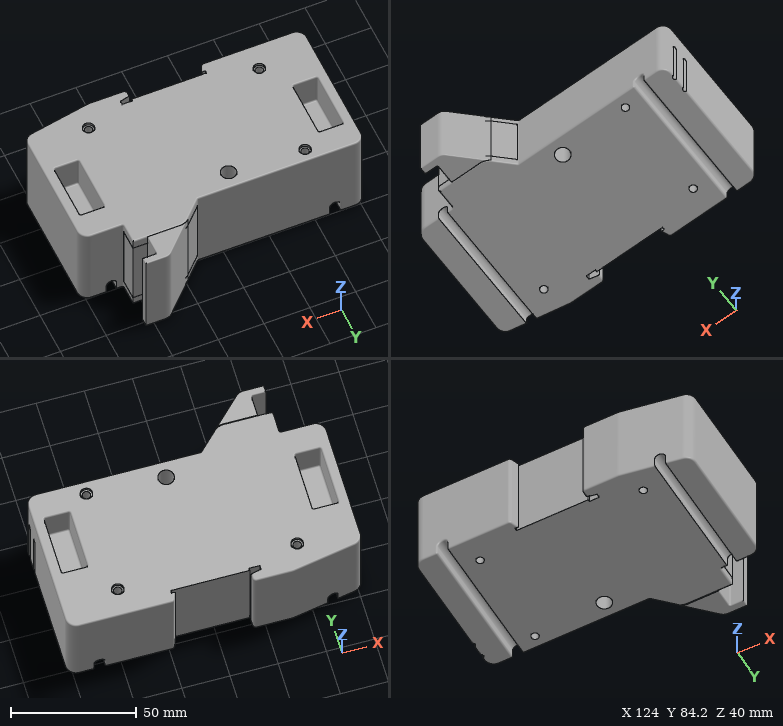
import cadquery as cq
import math

SELECT_MARGIN = 0.1

LENGTH = 124.0
DEPTH = 62.2
HEIGHT = 40.0
CORNER_RADIUS = 4.5
EDGE_ROUND = 0.7

SLOPE_ANGLE = math.radians(45)
SLOPE_FOOT_X = 73.1
SHOULDER_RIGHT_X = 105.8
SHOULDER_TOP_Y = 71.8
SHOULDER_RADIUS = 6.0
FOOT_RADIUS = 0.7
SHOULDER_LEFT_X = SLOPE_FOOT_X + (SHOULDER_TOP_Y - DEPTH) / math.tan(SLOPE_ANGLE)

HOOK_TOP_Y = 84.2
HOOK_RADIUS = 4.5
HOOK_EDGE_ROUND = 0.5
HOOK_NOSE_THICKNESS = 3.3
HOOK_STEM_X = 99.4
HOOK_TIP_X = 105.6
HOOK_INNER_RADIUS = 0.7
HOOK_LEFT_X = SLOPE_FOOT_X + (HOOK_TOP_Y - DEPTH) / math.tan(SLOPE_ANGLE)

SIDE_WALL = 4.1
INSERT_FLOOR_Y = DEPTH + FOOT_RADIUS * (1 - math.cos(SLOPE_ANGLE))

SLANT_START_X = 93.5
SLANT_ANGLE = math.radians(10)
SLANT_BEND_RADIUS = 7.5
SLANT_END_Y = (LENGTH - SLANT_START_X) * math.tan(SLANT_ANGLE)

RAIL_LEFT_X = 44.1
RAIL_RIGHT_X = 76.9
RAIL_CEILING_Y = 5.2
LEFT_LIP_TIP_X = 45.7
LEFT_LIP_TOP_Y = 4.1
RIGHT_UNDERCUT_X = 81.3
RIGHT_UNDERCUT_TOP_Y = 6.2
RIGHT_UNDERCUT_LOW_Y = 4.5
RIGHT_LIP_TOP_Y = 3.5
LIP_RADIUS = 1.5

SCREW_LEFT_X = 23.9
SCREW_RIGHT_X = 98.5
SCREW_FRONT_Y = 11.7
SCREW_BACK_Y = 56.7
SCREW_DIAMETER = 3.3
COUNTERBORE_DIAMETER = 5.0
COUNTERBORE_DEPTH = 1.2
BIG_HOLE_X = 56.5
BIG_HOLE_Y = 54.9
BIG_HOLE_DIAMETER = 6.6

POCKET_WIDTH = 10.8
POCKET_LENGTH = 25.5
POCKET_DEPTH = 14.9
POCKET_X = 9.9
POCKET_Y = 37.8
POCKET_RADIUS = 0.7

CHANNEL_WIDTH = 4.5
CHANNEL_HEIGHT = 6.3
CHANNEL_X = 13.1

GROOVE_RADIUS = 1.0
GROOVE_HEIGHT = 26.9
GROOVE_YS = (48.8, 55.5)


def round_upright_edge(solid, x, y, radius):
    """Round the upright edge that stands at (x, y)."""
    return solid.edges(cq.selectors.NearestToPointSelector((x, y, HEIGHT / 2))).fillet(radius)


def housing_blank():
    """Outer shape of the housing with rounded upright edges and sharp rims."""
    outline = [
        (0, 0),
        (RAIL_LEFT_X, 0),
        (LEFT_LIP_TIP_X, LEFT_LIP_TOP_Y),
        (RAIL_LEFT_X, LEFT_LIP_TOP_Y),
        (RAIL_LEFT_X, RAIL_CEILING_Y),
        (RAIL_RIGHT_X, RAIL_CEILING_Y),
        (RAIL_RIGHT_X, RIGHT_UNDERCUT_TOP_Y),
        (RIGHT_UNDERCUT_X, RIGHT_UNDERCUT_TOP_Y),
        (RIGHT_UNDERCUT_X, RIGHT_UNDERCUT_LOW_Y),
        (RAIL_RIGHT_X, RIGHT_LIP_TOP_Y),
        (RAIL_RIGHT_X, 0),
        (SLANT_START_X, 0),
        (LENGTH, SLANT_END_Y),
        (LENGTH, DEPTH),
        (SHOULDER_RIGHT_X, DEPTH),
        (SHOULDER_RIGHT_X, SHOULDER_TOP_Y),
        (SHOULDER_LEFT_X, SHOULDER_TOP_Y),
        (SLOPE_FOOT_X, DEPTH),
        (0, DEPTH),
    ]
    rounded_corners = [
        (0, 0, CORNER_RADIUS),
        (0, DEPTH, CORNER_RADIUS),
        (LENGTH, DEPTH, CORNER_RADIUS),
        (LENGTH, SLANT_END_Y, CORNER_RADIUS),
        (SLANT_START_X, 0, SLANT_BEND_RADIUS),
        (RAIL_LEFT_X, 0, LIP_RADIUS),
        (RAIL_RIGHT_X, 0, LIP_RADIUS),
        (SLOPE_FOOT_X, DEPTH, FOOT_RADIUS),
        (SHOULDER_RIGHT_X, DEPTH, FOOT_RADIUS),
        (SHOULDER_LEFT_X, SHOULDER_TOP_Y, SHOULDER_RADIUS),
    ]
    blank = cq.Workplane("XY").polyline(outline).close().extrude(HEIGHT)
    for x, y, radius in rounded_corners:
        blank = round_upright_edge(blank, x, y, radius)
    return blank


def round_housing_rims(blank):
    """Round the top and bottom rims, leaving the inside of the rail slot sharp."""
    slot_edges = cq.selectors.BoxSelector(
        (RAIL_LEFT_X - EDGE_ROUND, RIGHT_LIP_TOP_Y, -SELECT_MARGIN),
        (RIGHT_UNDERCUT_X + EDGE_ROUND, RIGHT_UNDERCUT_TOP_Y + EDGE_ROUND, HEIGHT + SELECT_MARGIN),
    )
    rims = cq.selectors.StringSyntaxSelector("#Z")
    return blank.edges(rims - slot_edges).fillet(EDGE_ROUND)


def channel(x):
    """Round-topped channel running through the block along Y."""
    radius = CHANNEL_WIDTH / 2
    straight_height = CHANNEL_HEIGHT - radius
    return (
        cq.Workplane("XZ")
        .moveTo(x - radius, 0)
        .lineTo(x - radius, straight_height)
        .threePointArc((x, CHANNEL_HEIGHT), (x + radius, straight_height))
        .lineTo(x + radius, 0)
        .close()
        .extrude(-DEPTH)
    )


def cut_channels(body):
    """Cut both channels and round the front mouth of the left one."""
    for x in (CHANNEL_X, LENGTH - CHANNEL_X):
        body = body.cut(channel(x))
    radius = CHANNEL_WIDTH / 2
    mouth = cq.selectors.BoxSelector(
        (CHANNEL_X - radius - SELECT_MARGIN, -SELECT_MARGIN, EDGE_ROUND),
        (CHANNEL_X + radius + SELECT_MARGIN, SELECT_MARGIN, CHANNEL_HEIGHT + SELECT_MARGIN),
    )
    return body.edges(mouth).fillet(EDGE_ROUND)


def cut_pockets(body):
    """Cut the two grip pockets and round their rims."""
    for x in (POCKET_X, LENGTH - POCKET_X):
        pocket = (
            cq.Workplane("XY", origin=(x, POCKET_Y, HEIGHT - POCKET_DEPTH))
            .rect(POCKET_WIDTH, POCKET_LENGTH)
            .extrude(POCKET_DEPTH)
            .edges("|Z or <Z")
            .fillet(POCKET_RADIUS)
        )
        half_width = POCKET_WIDTH / 2 + SELECT_MARGIN
        half_length = POCKET_LENGTH / 2 + SELECT_MARGIN
        rim = cq.selectors.BoxSelector(
            (x - half_width, POCKET_Y - half_length, HEIGHT - SELECT_MARGIN),
            (x + half_width, POCKET_Y + half_length, HEIGHT + SELECT_MARGIN),
        )
        body = body.cut(pocket).edges(rim).fillet(EDGE_ROUND)
    return body


def cut_holes(body):
    """Drill the counterbored screw holes and the larger plain hole."""
    screw_places = [
        (SCREW_LEFT_X, SCREW_FRONT_Y),
        (SCREW_LEFT_X, SCREW_BACK_Y),
        (SCREW_RIGHT_X, SCREW_FRONT_Y),
    ]
    top = cq.Workplane("XY", origin=(0, 0, HEIGHT))
    screw_holes = top.pushPoints(screw_places).circle(SCREW_DIAMETER / 2).extrude(-HEIGHT)
    counterbores = top.pushPoints(screw_places).circle(COUNTERBORE_DIAMETER / 2).extrude(-COUNTERBORE_DEPTH)
    big_hole = top.center(BIG_HOLE_X, BIG_HOLE_Y).circle(BIG_HOLE_DIAMETER / 2).extrude(-HEIGHT)
    return body.cut(screw_holes).cut(counterbores).cut(big_hole)


def cut_grooves(body):
    """Cut the half-round grooves, which end in a quarter sphere."""
    straight_height = GROOVE_HEIGHT - GROOVE_RADIUS
    for y in GROOVE_YS:
        shaft = cq.Workplane("XY").center(0, y).circle(GROOVE_RADIUS).extrude(straight_height)
        end = cq.Workplane("XY", origin=(0, y, straight_height)).sphere(GROOVE_RADIUS)
        body = body.cut(shaft).cut(end)
    return body


def insert_space():
    """Space between the shoulder's side walls, open to the slope, the back and the right."""
    return cq.Workplane("XY", origin=(SLOPE_FOOT_X, INSERT_FLOOR_Y, SIDE_WALL)).box(
        SHOULDER_RIGHT_X - SLOPE_FOOT_X,
        SHOULDER_TOP_Y - INSERT_FLOOR_Y,
        HEIGHT - 2 * SIDE_WALL,
        centered=False,
    )


def make_housing(blank):
    """Housing with all its cuts and the space for the insert."""
    body = round_housing_rims(blank)
    body = cut_channels(body)
    body = cut_pockets(body)
    body = cut_holes(body)
    body = cut_grooves(body)
    return body.cut(insert_space())


def make_insert(blank):
    """Block that fills the shoulder between its side walls, flush with the slope."""
    return blank.intersect(insert_space())


def make_hook(blank):
    """Hook in line with the slope, seated on the shoulder and its rounded corner."""
    nose_low_y = HOOK_TOP_Y - HOOK_NOSE_THICKNESS
    outline = [
        (SLOPE_FOOT_X, DEPTH),
        (HOOK_LEFT_X, HOOK_TOP_Y),
        (HOOK_TIP_X, HOOK_TOP_Y),
        (HOOK_TIP_X, nose_low_y),
        (HOOK_STEM_X, nose_low_y),
        (HOOK_STEM_X, DEPTH),
    ]
    hook = cq.Workplane("XY").polyline(outline).close().extrude(HEIGHT)
    hook = round_upright_edge(hook, HOOK_LEFT_X, HOOK_TOP_Y, HOOK_RADIUS)
    hook = round_upright_edge(hook, HOOK_STEM_X, nose_low_y, HOOK_INNER_RADIUS)
    hook = hook.faces("<Z or >Z").edges("not <Y").fillet(HOOK_EDGE_ROUND)
    return hook.cut(blank)


blank = housing_blank()
housing = make_housing(blank)
insert = make_insert(blank)
hook = make_hook(blank)

result = cq.Compound.makeCompound([body.solids().val() for body in (housing, insert, hook)])